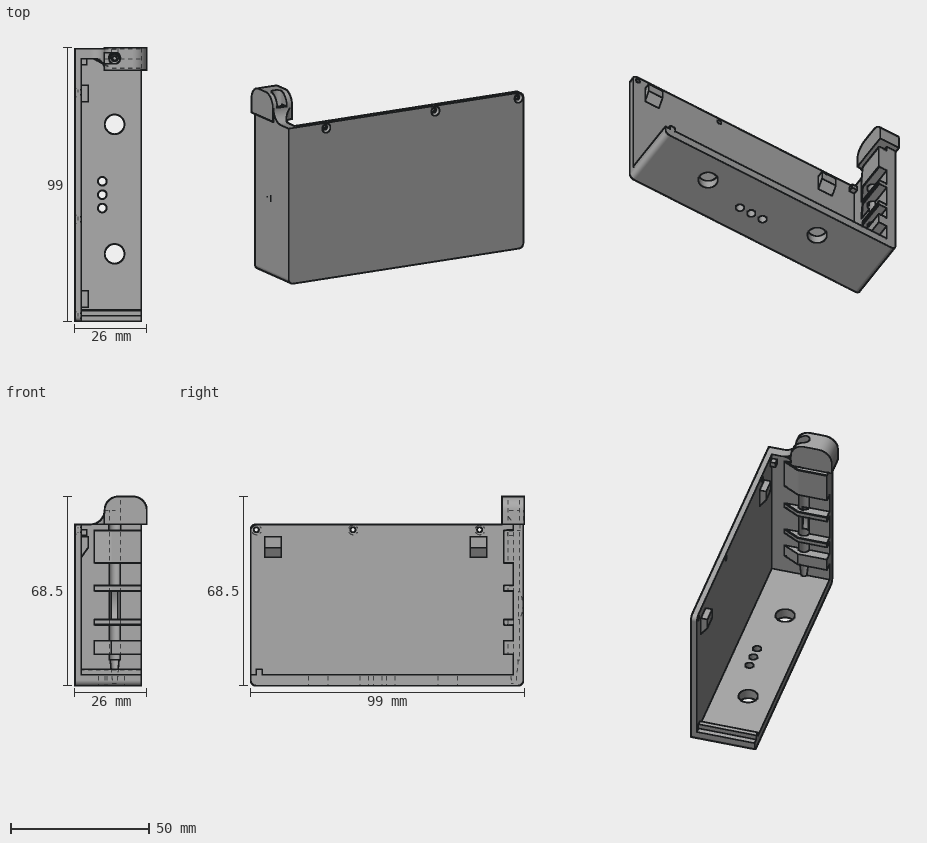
import cadquery as cq

length = 99.0
width = 24.1
wall_top = 58.4
side_thickness = 2.3
floor_thickness = 4.1
edge_radius = 2.0

back_rear = 98.7
back_face = 94.9

ridge_front = 2.1
ridge_rear = 4.2
ridge_top = 6.0
ridge_chamfer = 0.3

large_hole_x = 14.4
large_hole_diameter = 7.0
large_hole_y = (24.5, 71.3)
small_hole_x = 9.9
small_hole_diameter = 3.1
small_hole_middle_y = 45.8
small_hole_pitch = 4.9

screw_y = (2.1, 37.0, 82.9)
screw_inset = 2.0
screw_diameter = 1.8
countersink_diameter = 3.5
countersink_depth = 1.0

gusset_y = (8.1, 82.5)
gusset_width = 5.9
gusset_reach = 2.5
gusset_top = 54.0
gusset_knee = 49.9
gusset_bottom = 46.4
corner_tab_reach = 2.0
corner_tab_depth = 2.2
corner_tab_bottom = 54.45
corner_tab_top = 56.4

head_left = 10.7
head_right = 26.0
head_front = 90.9
head_top = 68.5
head_radius = 5.0
flare_radius = head_top - wall_top - head_radius
web_fillet_radius = 3.7

block_left = 6.9
block_shoulder = 13.1
block_depth = 3.4
block_chamfer = 0.2
thick_block = (44.4, 56.3)
thin_upper_block = (34.3, 36.4)
thin_lower_block = (22.0, 24.1)
plain_block = (11.4, 16.3)

bore_x = 14.4
bore_y = 95.1
bore_diameter = 4.1
bore_bottom = 9.4
collar_diameter = 4.4
taper_top_diameter = 3.3
taper_tip_diameter = 1.6
taper_bottom = 1.0
slot_floor = head_top - head_radius

relief_width = 2.4
relief_skin = 0.3


def box(x0, x1, y0, y1, z0, z1):
    """Box between two opposite corners."""
    return cq.Workplane("XY").box(x1 - x0, y1 - y0, z1 - z0, centered=False).translate((x0, y0, z0))


def cylinder(x, y, z0, z1, diameter):
    """Upright cylinder between two heights."""
    return cq.Workplane("XY", origin=(x, y, z0)).circle(diameter / 2).extrude(z1 - z0)


def along_y(outline, y0, y1):
    """Extrude an XZ outline from y0 to y1."""
    return outline.extrude(-(y1 - y0)).translate((0, y0, 0))


def make_shell():
    """Side wall, floor and back wall, with the outer edges rounded."""
    shell = box(0, width, 0, back_rear, 0, wall_top)
    shell = shell.edges("|X and (<Z or (>Z and <Y))").fillet(edge_radius)
    return shell.cut(box(side_thickness, width, 0, back_face, floor_thickness, wall_top))


def make_ridge():
    """Low ridge across the floor with its rear top edge chamfered."""
    ridge = box(side_thickness, width, ridge_front, ridge_rear, floor_thickness, ridge_top)
    return ridge.edges("|X and >Z and >Y").chamfer(ridge_chamfer)


def make_gusset(center_y):
    """Support tab with a sloped underside."""
    tip = side_thickness + gusset_reach
    outline = cq.Workplane("XZ").polyline([
        (0, gusset_top),
        (tip, gusset_top),
        (tip, gusset_knee),
        (side_thickness, gusset_bottom),
        (0, gusset_bottom),
    ]).close()
    return along_y(outline, center_y - gusset_width / 2, center_y + gusset_width / 2)


def make_head():
    """Round-topped head overhanging the back wall."""
    head = box(head_left, head_right, head_front, length, wall_top, head_top)
    return head.edges("|Y and >Z").fillet(head_radius)


def make_web():
    """Concave flare from the back wall up to the head, filleted in plan to the head's side."""
    overlap = head_left + head_radius
    flare = (
        cq.Workplane("XZ")
        .moveTo(head_left - flare_radius, wall_top)
        .radiusArc((head_left, wall_top + flare_radius), -flare_radius)
        .lineTo(overlap, wall_top + flare_radius)
        .lineTo(overlap, wall_top)
        .close()
    )
    plan = (
        cq.Workplane("XY", origin=(0, 0, wall_top))
        .moveTo(0, back_rear)
        .lineTo(0, back_face)
        .lineTo(head_left - web_fillet_radius, back_face)
        .radiusArc((head_left, back_face - web_fillet_radius), web_fillet_radius)
        .lineTo(overlap, back_face - web_fillet_radius)
        .lineTo(overlap, back_rear)
        .close()
        .extrude(flare_radius)
    )
    return along_y(flare, head_front, back_rear).intersect(plan)


def make_block(bottom, top, chamfer):
    """Guide block with a slanted left face; a chamfer breaks its exposed edges."""
    front = back_face - block_depth
    block = (
        cq.Workplane("XY", origin=(0, 0, bottom))
        .polyline([
            (block_left, back_face),
            (block_shoulder, front),
            (width, front),
            (width, back_face),
        ])
        .close()
        .extrude(top - bottom)
    )
    if chamfer:
        block = block.faces("<Y or <X").edges("not (>X or <X)").chamfer(chamfer)
    return block


def make_bore():
    """Guide bore: side slot in the head, collar below it, then a blind tapered end."""
    collar = cylinder(bore_x, bore_y, thick_block[1], wall_top, collar_diameter)
    main = cylinder(bore_x, bore_y, bore_bottom, head_top, bore_diameter)
    taper = (
        cq.Workplane("XY", origin=(bore_x, bore_y, taper_bottom))
        .circle(taper_tip_diameter / 2)
        .workplane(offset=bore_bottom - taper_bottom)
        .circle(taper_top_diameter / 2)
        .loft()
    )
    slot = box(
        0, bore_x,
        bore_y - bore_diameter / 2, bore_y + bore_diameter / 2,
        slot_floor, head_top,
    )
    return main.union(collar).union(taper).union(slot)


def make_relief():
    """Curved relief in the back wall, bowed rearward between the two thin blocks."""
    top = thin_upper_block[0]
    bottom = thin_lower_block[1]
    bore_rear = bore_y + bore_diameter / 2
    return (
        cq.Workplane("YZ", origin=(bore_x - relief_width / 2, 0, 0))
        .moveTo(back_face, bottom)
        .lineTo(bore_rear, bottom)
        .threePointArc((back_rear - relief_skin, (bottom + top) / 2), (bore_rear, top))
        .lineTo(back_face, top)
        .close()
        .extrude(relief_width)
    )


def make_floor_holes():
    """Two large holes and a row of three small ones through the floor."""
    holes = cq.Workplane("XY")
    for y in large_hole_y:
        holes = holes.union(cylinder(large_hole_x, y, 0, floor_thickness, large_hole_diameter))
    for step in (-1, 0, 1):
        y = small_hole_middle_y + step * small_hole_pitch
        holes = holes.union(cylinder(small_hole_x, y, 0, floor_thickness, small_hole_diameter))
    return holes


def make_screw_hole(y):
    """Countersunk hole through the side wall, entered from the outside."""
    start = cq.Workplane("YZ", origin=(0, y, wall_top - screw_inset))
    hole = start.circle(screw_diameter / 2).extrude(side_thickness)
    cone = (
        start.circle(countersink_diameter / 2)
        .workplane(offset=countersink_depth)
        .circle(screw_diameter / 2)
        .loft()
    )
    return hole.union(cone)


result = make_shell().union(make_ridge())
for y in gusset_y:
    result = result.union(make_gusset(y))
result = result.union(box(
    side_thickness, side_thickness + corner_tab_reach,
    back_face - corner_tab_depth, back_face,
    corner_tab_bottom, corner_tab_top,
))
for bottom, top in (thick_block, thin_upper_block, thin_lower_block):
    result = result.union(make_block(bottom, top, block_chamfer))
result = result.union(make_block(*plain_block, chamfer=0))
result = result.union(make_web()).union(make_head())

result = result.cut(make_bore()).cut(make_relief()).cut(make_floor_holes())
for y in screw_y:
    result = result.cut(make_screw_hole(y))